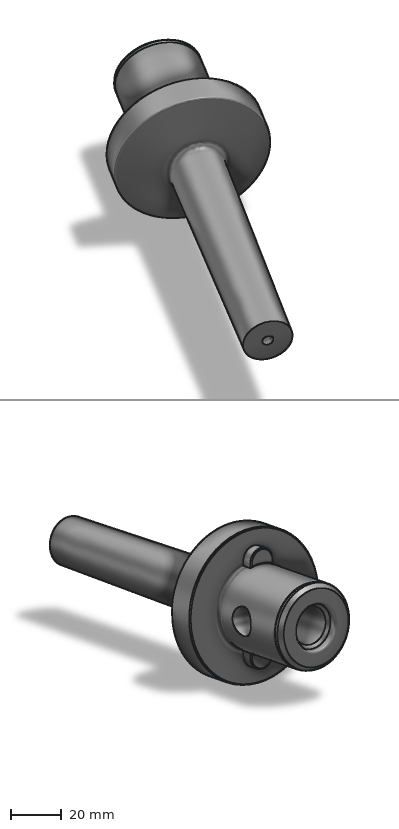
import cadquery as cq
import math

total_length = 159.5
tolerance = 1e-3

spigot_radius = 18.0
nose_chamfer = 2.0
groove_start = 1.8
groove_width = 1.7
lead_in_end = 4.6
lead_in_drop = 0.2

flange_radius = 32.0
flange_front = 40.0
flange_thickness = 12.0
front_chamfer = 0.5
back_edge_round = 1.0
back_cone_angle = math.radians(15)

undercut_start = 37.7
undercut_floor_start = 38.6
undercut_depth = 0.25
undercut_corner = 0.6
face_recess_radius = 19.5
face_recess_depth = 0.2

shank_root_radius = 11.4
shank_end_radius = 10.15
shank_fillet = 3.5

mouth_radius = 9.4
mouth_round = 1.0
mouth_depth = 3.0
bore_step_length = 1.2
bore_radius = 7.9
bore_depth = 34.0
bore_point_angle = math.radians(118)
passage_radius = 2.25

cross_hole_radius = 6.0
cross_hole_x = 24.7

pin_sides = (1, -1)
pin_radius = 5.5
pin_offset = 19.3
pin_front = 35.0
pin_length = 12.0
pin_chamfer = 0.5
pin_clearance = 0.2

flange_back = flange_front + flange_thickness
groove_end = groove_start + groove_width
ring_centre_x = groove_start + groove_width / 2
ring_section_radius = groove_width / 2
ring_centre_radius = spigot_radius - ring_section_radius
groove_floor_radius = spigot_radius - groove_width


def revolve_about_x(profile):
    """Turn a closed (axial, radial) wire in the XZ plane about the X axis."""
    return profile.revolve(360, (0, 0, 0), (1, 0, 0))


def round_circle(body, x, radius, round_radius):
    """Round the circular edge that lies at axial place x with the given radius."""
    def is_wanted(edge):
        return abs(edge.Center().x - x) < tolerance and abs(edge.radius() - radius) < tolerance

    return body.edges("%CIRCLE").filter(is_wanted).fillet(round_radius)


def make_outer_form():
    """Solid spigot, flange and shank, before any hole is cut."""
    undercut_radius = spigot_radius - undercut_depth
    recess_floor = flange_front + face_recess_depth
    shank_start = flange_back + (flange_radius - shank_root_radius) * math.tan(back_cone_angle)
    lead_in_radius = spigot_radius - lead_in_drop
    body = revolve_about_x(
        cq.Workplane("XZ")
        .moveTo(0, 0)
        .lineTo(0, spigot_radius - nose_chamfer)
        .lineTo(groove_start, spigot_radius - nose_chamfer + groove_start)
        .lineTo(groove_start, groove_floor_radius)
        .lineTo(groove_end, groove_floor_radius)
        .lineTo(groove_end, lead_in_radius)
        .lineTo(lead_in_end, spigot_radius)
        .lineTo(undercut_start, spigot_radius)
        .lineTo(undercut_floor_start, undercut_radius)
        .lineTo(recess_floor, undercut_radius)
        .lineTo(flange_front, face_recess_radius)
        .lineTo(flange_front, flange_radius - front_chamfer)
        .lineTo(flange_front + front_chamfer, flange_radius)
        .lineTo(flange_back, flange_radius)
        .lineTo(shank_start, shank_root_radius)
        .lineTo(total_length, shank_end_radius)
        .lineTo(total_length, 0)
        .close()
    )
    body = round_circle(body, recess_floor, undercut_radius, undercut_corner)
    body = round_circle(body, flange_back, flange_radius, back_edge_round)
    return round_circle(body, shank_start, shank_root_radius, shank_fillet)


def make_bore():
    """The stepped bore, its conical bottom and the passage to the shank end."""
    step_end = mouth_depth + bore_step_length
    point_end = bore_depth + (bore_radius - passage_radius) / math.tan(bore_point_angle / 2)
    return revolve_about_x(
        cq.Workplane("XZ")
        .moveTo(0, 0)
        .lineTo(0, mouth_radius)
        .lineTo(mouth_depth, mouth_radius)
        .lineTo(step_end, bore_radius)
        .lineTo(bore_depth, bore_radius)
        .lineTo(point_end, passage_radius)
        .lineTo(total_length, passage_radius)
        .lineTo(total_length, 0)
        .close()
    )


def make_cross_hole():
    """Cylinder from the axis out through the +Y side of the spigot."""
    return (
        cq.Workplane("XZ")
        .center(cross_hole_x, 0)
        .circle(cross_hole_radius)
        .extrude(-spigot_radius)
    )


def make_pin_blank(side):
    """Round-topped block on the +Z (1) or -Z (-1) side, hollowed below to clear the spigot."""
    hollow_radius = spigot_radius + pin_clearance
    foot = math.sqrt(hollow_radius**2 - pin_radius**2)
    return (
        cq.Workplane("YZ", origin=(pin_front, 0, 0))
        .moveTo(-pin_radius, side * foot)
        .lineTo(-pin_radius, side * pin_offset)
        .threePointArc((0, side * (pin_offset + pin_radius)), (pin_radius, side * pin_offset))
        .lineTo(pin_radius, side * foot)
        .threePointArc((0, side * hollow_radius), (-pin_radius, side * foot))
        .close()
        .extrude(pin_length)
    )


def make_drive_pin(side):
    """Drive pin with its exposed end chamfered and its other end seated in the flange."""
    return make_pin_blank(side).faces("<X").chamfer(pin_chamfer)


def make_holder():
    """Holder with its bore, cross hole and the seats of the drive pins."""
    holder = make_outer_form().cut(make_bore())
    holder = round_circle(holder, 0, mouth_radius, mouth_round)
    holder = holder.cut(make_cross_hole())
    for side in pin_sides:
        holder = holder.cut(make_pin_blank(side))
    return holder


def make_o_ring():
    """Round-section ring, flush with the spigot radius."""
    return revolve_about_x(
        cq.Workplane("XZ").moveTo(ring_centre_x, ring_centre_radius).circle(ring_section_radius)
    )


holder = make_holder()
drive_pins = [make_drive_pin(side) for side in pin_sides]
o_ring = make_o_ring()

result = cq.Compound.makeCompound([holder.val(), o_ring.val(), *[pin.val() for pin in drive_pins]])